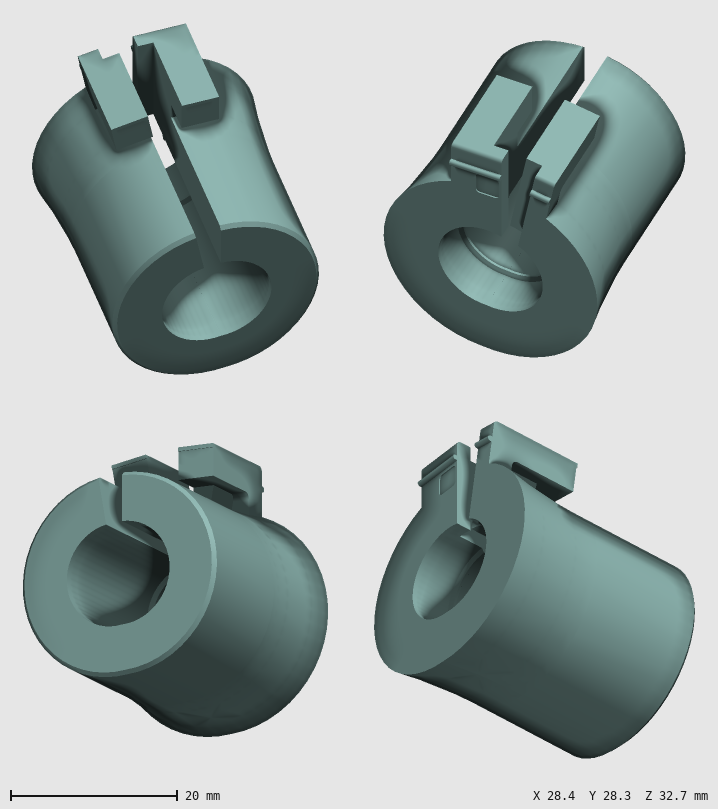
import cadquery as cq
import math


length = 27.8
body_radius = 12.55
flare_radius = 13.62
flare_length = 12.2
rear_chamfer = 0.45
bore_radius = 6.4

ridge_start = 5.5
ridge_ramp = 0.33
ridge_height = 0.55
ridge_width = 3 * ridge_ramp
crest_radius = bore_radius - ridge_height

opening_angle = 10
hinge_z = -crest_radius

lug_top = 18.95
lug_thickness = 4.7
lug_length = 13.0
lug_edge_radius = 0.55
head_height = 4.02
head_bottom = lug_top - head_height
lip_height = 0.5
lip_overhang = 0.13
foot_length = 3.43
foot_fillet = 0.8
web_length = 8.82
web_top_thickness = 2.7
web_draft = 10
root_z = 10.78

bead_radius = 0.35
bead_projection = 0.62
bead_z = lug_top - 2.7

flange_length = 2.05
flange_width = 1.95
recess_depth = 2.12

label_side = 3.07
label_corner_radius = 0.52
label_depth = 0.15
label_y = -0.1
label_z = 13.9


def block(x_range, y_range, z_range):
    """Axis-aligned box given by its limits."""
    (x0, x1), (y0, y1), (z0, z1) = x_range, y_range, z_range
    return cq.Workplane("XY").box(x1 - x0, y1 - y0, z1 - z0, centered=False).translate((x0, y0, z0))


def half_ring():
    """Flared half ring on the +Y side, with the ridge in its bore."""
    flare_rise = flare_radius - body_radius
    arc_radius = (flare_length**2 + flare_rise**2) / (2 * flare_rise)
    mid_x = flare_length / 2
    mid_radius = body_radius + arc_radius - math.sqrt(arc_radius**2 - mid_x**2)
    ridge_end = ridge_start + ridge_width
    return (
        cq.Workplane("XY")
        .moveTo(0, bore_radius)
        .lineTo(0, flare_radius)
        .threePointArc((mid_x, mid_radius), (flare_length, body_radius))
        .lineTo(length - rear_chamfer, body_radius)
        .lineTo(length, body_radius - rear_chamfer)
        .lineTo(length, bore_radius)
        .lineTo(ridge_end, bore_radius)
        .lineTo(ridge_end - ridge_ramp, crest_radius)
        .lineTo(ridge_start + ridge_ramp, crest_radius)
        .lineTo(ridge_start, bore_radius)
        .close()
        .revolve(180, (0, 0, 0), (-1, 0, 0))
        .rotate((0, 0, 0), (1, 0, 0), 90)
    )


def lug():
    """Overhanging lug with a rounded front edge, from the parting face to its outer face."""
    outline = (
        cq.Workplane("XZ")
        .moveTo(0, root_z)
        .lineTo(0, lug_top)
        .lineTo(lug_length, lug_top)
        .lineTo(lug_length, lug_top - lip_height)
        .lineTo(lug_length - lip_overhang, lug_top - lip_height)
        .lineTo(lug_length - lip_overhang, head_bottom)
        .lineTo(foot_length, head_bottom)
        .lineTo(foot_length, root_z)
        .close()
    )
    mid_y = lug_thickness / 2
    front_edge = cq.selectors.NearestToPointSelector((0, mid_y, lug_top))
    inner_corner = cq.selectors.NearestToPointSelector((foot_length, mid_y, head_bottom))
    solid = outline.extrude(-lug_thickness)
    return solid.edges(front_edge).fillet(lug_edge_radius).edges(inner_corner).fillet(foot_fillet)


def web():
    """Wall carrying the head of the lug, tapering downwards beside the parting face."""
    root_thickness = web_top_thickness - (head_bottom - root_z) * math.tan(math.radians(web_draft))
    return (
        cq.Workplane("YZ")
        .moveTo(0, root_z)
        .lineTo(root_thickness, root_z)
        .lineTo(web_top_thickness, head_bottom)
        .lineTo(0, head_bottom)
        .close()
        .extrude(web_length)
    )


def bead(y_min):
    """Round-nosed bead on the front of the lug, from y_min to its outer face."""
    nose_x = bead_radius - bead_projection
    return (
        cq.Workplane("XZ", origin=(0, y_min, 0))
        .moveTo(bead_radius, bead_z - bead_radius)
        .lineTo(nose_x, bead_z - bead_radius)
        .threePointArc((-bead_projection, bead_z), (nose_x, bead_z + bead_radius))
        .lineTo(bead_radius, bead_z + bead_radius)
        .close()
        .extrude(y_min - lug_thickness)
    )


def plain_half():
    """Half ring with its lug, before the flange or recess is made."""
    return half_ring().union(lug()).union(web()).union(bead(0))


def flange():
    """Front flange reaching from the bore to the top of the lug, past the parting face."""
    front_slab = block((0, flange_length), (-flange_width, 0), (0, lug_top))
    bore = cq.Workplane("YZ").circle(bore_radius).extrude(flange_length)
    rounded_edge = front_slab.edges("<X and >Z").fillet(lug_edge_radius)
    return rounded_edge.cut(bore)


def label_pocket():
    """Rounded square pocket in the front face."""
    return (
        cq.Workplane("YZ", origin=(0, label_y, label_z))
        .rect(label_side, label_side)
        .extrude(label_depth)
        .edges("|X")
        .fillet(label_corner_radius)
    )


def fixed_half():
    return plain_half().union(flange()).union(bead(-flange_width)).cut(label_pocket())


def swung_half():
    recess = block((-bead_projection, flange_length), (0, recess_depth), (0, lug_top))
    half = plain_half().cut(recess).mirror("XZ")
    return half.rotate((0, 0, hinge_z), (1, 0, hinge_z), opening_angle)


result = fixed_half().union(swung_half())